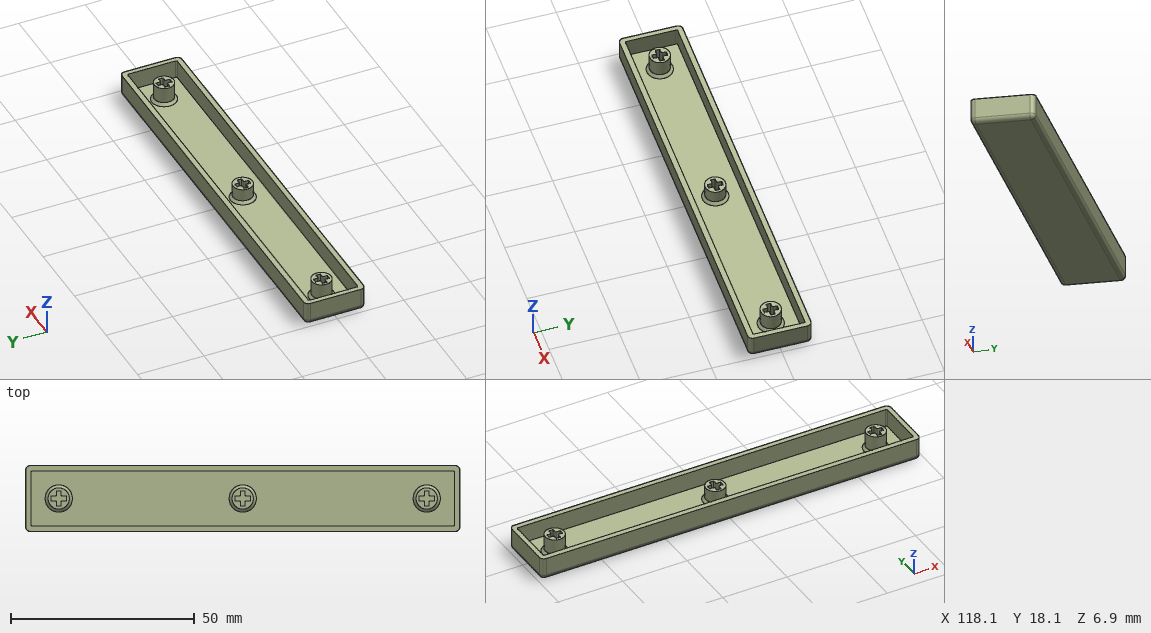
import cadquery as cq

LENGTH = 118.06
WIDTH = 18.05
HEIGHT = 6.9
END_WALL = 1.45
SIDE_WALL = 1.6
FLOOR = 1.4
CORNER_RADIUS = 1.4
BOTTOM_EDGE_RADIUS = CORNER_RADIUS
CAVITY_CORNER_RADIUS = 0.35

POST_SPACING = 50.0
POST_DIAMETER = 5.8
OUTER_POST_TOP = HEIGHT
MIDDLE_POST_TOP = 5.9
FOOT_WIDTH = 0.8
FOOT_HEIGHT = FOOT_WIDTH

CROSS_SPAN = 4.1
CROSS_ARM_WIDTH = 1.27
CROSS_INNER_RADIUS = 0.3
CROSS_DEPTH = 4.0

POSTS = [
    (-POST_SPACING, OUTER_POST_TOP),
    (0, MIDDLE_POST_TOP),
    (POST_SPACING, OUTER_POST_TOP),
]


def make_tray():
    """Rounded block with a cavity cut from above."""
    block = cq.Workplane("XY").box(LENGTH, WIDTH, HEIGHT, centered=(True, True, False))
    block = block.edges("|Z").fillet(CORNER_RADIUS)
    block = block.faces("<Z").edges().fillet(BOTTOM_EDGE_RADIUS)
    cavity = (
        cq.Workplane("XY")
        .workplane(offset=FLOOR)
        .rect(LENGTH - 2 * END_WALL, WIDTH - 2 * SIDE_WALL)
        .extrude(HEIGHT - FLOOR)
        .edges("|Z")
        .fillet(CAVITY_CORNER_RADIUS)
    )
    return block.cut(cavity)


def make_post(x, top):
    """Round post rising from the floor, widened by a cone at its foot."""
    radius = POST_DIAMETER / 2
    return (
        cq.Workplane("XZ", origin=(x, 0, FLOOR))
        .lineTo(radius + FOOT_WIDTH, 0)
        .lineTo(radius, FOOT_HEIGHT)
        .lineTo(radius, top - FLOOR)
        .lineTo(0, top - FLOOR)
        .close()
        .revolve(360, (0, 0), (0, 1))
    )


def make_socket(x, top):
    """Cross-shaped plug that hollows the top of one post."""
    plane = cq.Workplane("XY", origin=(x, 0, top))
    bar_x = plane.rect(CROSS_SPAN, CROSS_ARM_WIDTH).extrude(-CROSS_DEPTH)
    bar_y = plane.rect(CROSS_ARM_WIDTH, CROSS_SPAN).extrude(-CROSS_DEPTH)
    near_center = cq.selectors.BoxSelector(
        (x - CROSS_ARM_WIDTH, -CROSS_ARM_WIDTH, top - CROSS_DEPTH),
        (x + CROSS_ARM_WIDTH, CROSS_ARM_WIDTH, top),
    )
    return bar_x.union(bar_y).edges("|Z").edges(near_center).fillet(CROSS_INNER_RADIUS)


result = make_tray()
for post_x, post_top in POSTS:
    result = result.union(make_post(post_x, post_top))
    result = result.cut(make_socket(post_x, post_top))